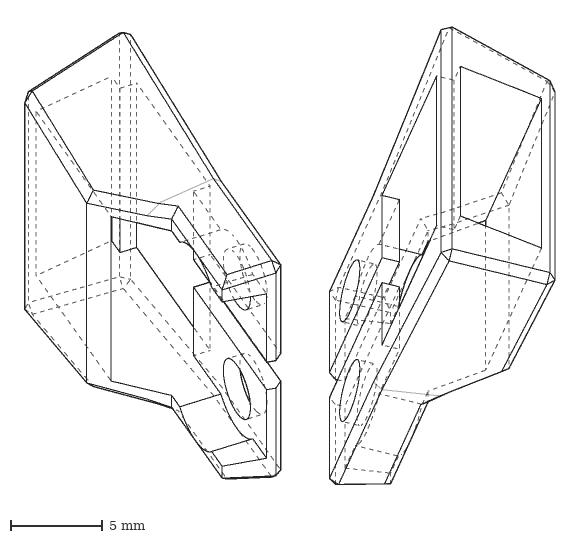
import cadquery as cq
import math

DEPTH = 7.0
LENGTH = 20.18
DRAFT_ANGLE = 10.0
CHAMFER = 0.5
LEFT_HALF_HEIGHT = 9.5
ARM_HALF_HEIGHT = 8.0
BEND_X = 12.15

END_OVERHANG = CHAMFER * math.sin(math.radians(DRAFT_ANGLE))
LEFT_X = -END_OVERHANG
RIGHT_X = LENGTH + END_OVERHANG

ARM_DEPTH = DEPTH / 2
RAMP_TOP_X = 9.65

WALL = 1.0
PASSAGE_HALF_HEIGHT = 6.0
PASSAGE_LIP_X = RAMP_TOP_X + WALL
BACK_OPENING_X = 1.2
SLOT_WIDTH = 2.0

HOLE_X = 16.25
HOLE_Z = 4.0
HOLE_DIAMETER = 3.5
HEAD_DIAMETER = 5.73

CLEARANCE = 2.02


def box_between(x_range, y_range, z_half):
    """Box spanning the X and Y ranges, symmetric about Z = 0."""
    return cq.Workplane("XY").box(
        x_range[1] - x_range[0], y_range[1] - y_range[0], 2 * z_half, centered=(False, False, True)
    ).translate((x_range[0], y_range[0], 0))


def tapered_trapezoid(left_half_height, right_half_height, depth):
    """Full-length block, symmetric about Z = 0, drafted inward toward the front."""
    return (
        cq.Workplane("XZ")
        .moveTo(LEFT_X, -left_half_height)
        .lineTo(RIGHT_X, -right_half_height)
        .lineTo(RIGHT_X, right_half_height)
        .lineTo(LEFT_X, left_half_height)
        .close()
        .extrude(depth, taper=DRAFT_ANGLE)
    )


def beyond_ramp():
    """Everything in front of the 45 degree ramp plane, which runs out through the back."""
    front_y = -DEPTH - CLEARANCE
    back_y = CLEARANCE
    ramp_start_x = RAMP_TOP_X - CLEARANCE
    ramp_end_x = ramp_start_x + back_y - front_y
    far_x = LENGTH + CLEARANCE
    return (
        cq.Workplane("XY")
        .moveTo(ramp_start_x, front_y)
        .lineTo(ramp_end_x, back_y)
        .lineTo(far_x, back_y)
        .lineTo(far_x, front_y)
        .close()
        .extrude(LEFT_HALF_HEIGHT + CLEARANCE, both=True)
    )


def chamfer_outside(block):
    """Chamfer every edge except the vertical ones on the front, right of the left end."""

    def is_chamfered(edge):
        middle = edge.Center()
        on_mid_plane = abs(middle.z) < CHAMFER
        return not (on_mid_plane and middle.y < -CHAMFER and middle.x > RAMP_TOP_X / 2)

    edges = [edge for edge in block.edges().vals() if is_chamfered(edge)]
    return block.newObject(edges).chamfer(CHAMFER)


def chamfered_body():
    """Join three convex chamfered blocks, so the bend and the ramp foot stay sharp."""
    flare_slope = (LEFT_HALF_HEIGHT - ARM_HALF_HEIGHT) / (BEND_X - LEFT_X)
    flare_right_half_height = LEFT_HALF_HEIGHT - flare_slope * (RIGHT_X - LEFT_X)
    flare = tapered_trapezoid(LEFT_HALF_HEIGHT, flare_right_half_height, DEPTH)
    straight = tapered_trapezoid(ARM_HALF_HEIGHT, ARM_HALF_HEIGHT, DEPTH)
    arm = tapered_trapezoid(ARM_HALF_HEIGHT, ARM_HALF_HEIGHT, ARM_DEPTH)

    joined = chamfer_outside(flare.cut(beyond_ramp()))
    joined = joined.union(chamfer_outside(straight.cut(beyond_ramp())))
    return joined.union(chamfer_outside(arm)).clean()


def screw_cylinder(z, diameter, back_y):
    front_y = -DEPTH - CLEARANCE
    return (
        cq.Workplane("XZ", origin=(HOLE_X, back_y, z))
        .circle(diameter / 2)
        .extrude(back_y - front_y)
    )


body = chamfered_body()

passage = box_between((-CLEARANCE, LENGTH + CLEARANCE), (WALL - DEPTH, -WALL), PASSAGE_HALF_HEIGHT)
body = body.cut(passage)

back_opening = box_between((BACK_OPENING_X, PASSAGE_LIP_X), (-2 * WALL, CLEARANCE), PASSAGE_HALF_HEIGHT)
body = body.cut(back_opening)

slot = box_between((PASSAGE_LIP_X, LENGTH + CLEARANCE), (-2 * WALL, CLEARANCE), SLOT_WIDTH / 2)
body = body.cut(slot)

for hole_z in (-HOLE_Z, HOLE_Z):
    body = body.cut(screw_cylinder(hole_z, HOLE_DIAMETER, CLEARANCE))
    body = body.cut(screw_cylinder(hole_z, HEAD_DIAMETER, -WALL))

result = body